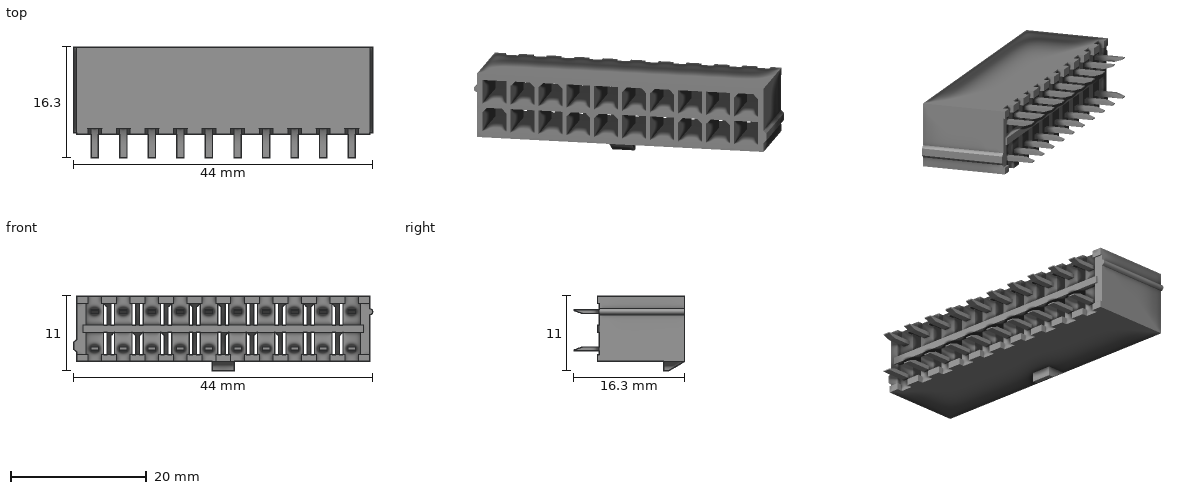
import cadquery as cq


PIN_COLUMNS = 10
PITCH = 4.2
HALF_ROW = PITCH * (PIN_COLUMNS - 1) / 2
COLUMN_X = [i * PITCH - HALF_ROW for i in range(PIN_COLUMNS)]

LENGTH = 43.1
DEPTH = 12.85
HEIGHT = 9.6
HALF_LENGTH = LENGTH / 2
HALF_HEIGHT = HEIGHT / 2

END_WALL_STEP = 0.25
TOP_LIP = 1.1
BOTTOM_LIP = 1.0
POCKET_TOP = HALF_HEIGHT - TOP_LIP
POCKET_BOTTOM = BOTTOM_LIP - HALF_HEIGHT
BLOCK_WIDTH = 2.6
BLOCK_FACE_Y = 0.9
BLOCK_BACK_Y = 3.4
SLOT_WIDTH = PITCH - BLOCK_WIDTH
LIP_NOTCH_WIDTH = 2.0
RIB_LENGTH = 41.3
RIB_HEIGHT = 1.06

CELL_SIZE = 3.6
CELL_ROW_Z = PITCH / 2
CELL_CHAMFER = 0.7
CELL_PATTERN_PERIOD = 4
UPPER_CHAMFERED_COLUMNS = (0, 3)

PIN_WIDTH = 1.1
PIN_THICKNESS = 0.6
PIN_LENGTH = 3.45
PIN_ROOT_Y = 2.0
UPPER_PIN_Z = 2.53
LOWER_PIN_Z = -2.97
TIP_LENGTH = 1.25
TIP_THICKNESS = 0.15

KEY_Z = 2.5
KEY_PROJECTION = 0.45
KEY_BASE_HEIGHT = 1.86
KEY_TOP_HEIGHT = 1.06

LATCH_WIDTH = 3.3
LATCH_LENGTH = 3.1
LATCH_HEIGHT = 1.4
LATCH_FLAT = 0.75


def box_between(x_range, y_range, z_range):
    """Axis-aligned box given by its limits along X, Y and Z."""
    corner = (x_range[0], y_range[0], z_range[0])
    size = [high - low for low, high in (x_range, y_range, z_range)]
    return cq.Workplane("XY").box(*size, centered=False).translate(corner)


def centred(middle, width):
    return (middle - width / 2, middle + width / 2)


def housing_block():
    return box_between(centred(0, LENGTH), (0, DEPTH), centred(0, HEIGHT))


def pin_face_recess():
    """Step at the end walls, pocket in front of the blocks and slots between them."""
    pocket_z = (POCKET_BOTTOM, POCKET_TOP)
    recess = box_between(centred(0, LENGTH), (0, END_WALL_STEP), pocket_z)
    pocket_length = 2 * HALF_ROW + BLOCK_WIDTH
    recess = recess.union(box_between(centred(0, pocket_length), (0, BLOCK_FACE_Y), pocket_z))
    for x in COLUMN_X[:-1]:
        slot_x = centred(x + PITCH / 2, SLOT_WIDTH)
        recess = recess.union(box_between(slot_x, (0, BLOCK_BACK_Y), pocket_z))
    return recess


def lip_notches():
    """Notches through both lips, in front of each block."""
    notches = cq.Workplane("XY")
    for x in COLUMN_X:
        notches = notches.add(
            box_between(centred(x, LIP_NOTCH_WIDTH), (0, BLOCK_FACE_Y), centred(0, HEIGHT))
        )
    return notches.combine()


def middle_rib():
    """Rib between the two rows, crossing the slots and overhanging the end wall steps."""
    return box_between(centred(0, RIB_LENGTH), (0, BLOCK_BACK_Y), centred(0, RIB_HEIGHT))


def has_chamfered_cell(column, is_upper):
    """Chamfered cells come in pairs along a row, and the two rows are complementary."""
    upper_is_chamfered = column % CELL_PATTERN_PERIOD in UPPER_CHAMFERED_COLUMNS
    return upper_is_chamfered == is_upper


def mating_cell(x, z, chamfered):
    """Square cell from the back of a block to the mating face, its two upper corners optionally chamfered."""
    cell = box_between(centred(x, CELL_SIZE), (BLOCK_BACK_Y, DEPTH), centred(z, CELL_SIZE))
    if chamfered:
        cell = cell.faces(">Z").edges("|Y").chamfer(CELL_CHAMFER)
    return cell


def mating_cells():
    cells = cq.Workplane("XY")
    for column, x in enumerate(COLUMN_X):
        for is_upper, z in ((True, CELL_ROW_Z), (False, -CELL_ROW_Z)):
            cells = cells.add(mating_cell(x, z, has_chamfered_cell(column, is_upper)))
    return cells.combine()


def pin(x, z, bevel_side):
    """Flat pin whose tip is bevelled on its upper (+1) or lower (-1) side."""
    bevelled_z = bevel_side * PIN_THICKNESS / 2
    straight_z = -bevelled_z
    tip_z = straight_z + bevel_side * TIP_THICKNESS
    profile = [
        (PIN_ROOT_Y, straight_z),
        (-PIN_LENGTH, straight_z),
        (-PIN_LENGTH, tip_z),
        (TIP_LENGTH - PIN_LENGTH, bevelled_z),
        (PIN_ROOT_Y, bevelled_z),
    ]
    blade = cq.Workplane("YZ").polyline(profile).close().extrude(PIN_WIDTH / 2, both=True)
    return blade.translate((x, 0, z))


def all_pins():
    pins = cq.Workplane("XY")
    for x in COLUMN_X:
        pins = pins.add(pin(x, UPPER_PIN_Z, -1))
        pins = pins.add(pin(x, LOWER_PIN_Z, 1))
    return pins.combine()


def trapezoid_key():
    """Chamfered key along the -X end wall."""
    outer_x = -HALF_LENGTH - KEY_PROJECTION
    base_low, base_high = centred(-KEY_Z, KEY_BASE_HEIGHT)
    top_low, top_high = centred(-KEY_Z, KEY_TOP_HEIGHT)
    profile = [
        (-HALF_LENGTH, base_low),
        (outer_x, top_low),
        (outer_x, top_high),
        (-HALF_LENGTH, base_high),
    ]
    end_face = cq.Workplane("XZ", origin=(0, DEPTH, 0))
    return end_face.polyline(profile).close().extrude(DEPTH - END_WALL_STEP)


def round_key():
    """Half-round key along the +X end wall."""
    end_face = cq.Workplane("XZ", origin=(0, DEPTH, 0))
    outline = (
        end_face.moveTo(HALF_LENGTH, KEY_Z - KEY_PROJECTION)
        .threePointArc((HALF_LENGTH + KEY_PROJECTION, KEY_Z), (HALF_LENGTH, KEY_Z + KEY_PROJECTION))
        .close()
    )
    return outline.extrude(DEPTH - END_WALL_STEP)


def latch():
    """Wedge under the bottom wall, rising toward the mating face."""
    front_y = DEPTH - LATCH_LENGTH
    tip_z = -HALF_HEIGHT - LATCH_HEIGHT
    profile = [
        (DEPTH, -HALF_HEIGHT),
        (front_y, -HALF_HEIGHT),
        (front_y, tip_z),
        (front_y + LATCH_FLAT, tip_z),
    ]
    return cq.Workplane("YZ").polyline(profile).close().extrude(LATCH_WIDTH / 2, both=True)


pin_face_cut = pin_face_recess().union(lip_notches()).cut(middle_rib())
housing = housing_block().cut(pin_face_cut).cut(mating_cells())
result = housing.union(all_pins()).union(trapezoid_key()).union(round_key()).union(latch())